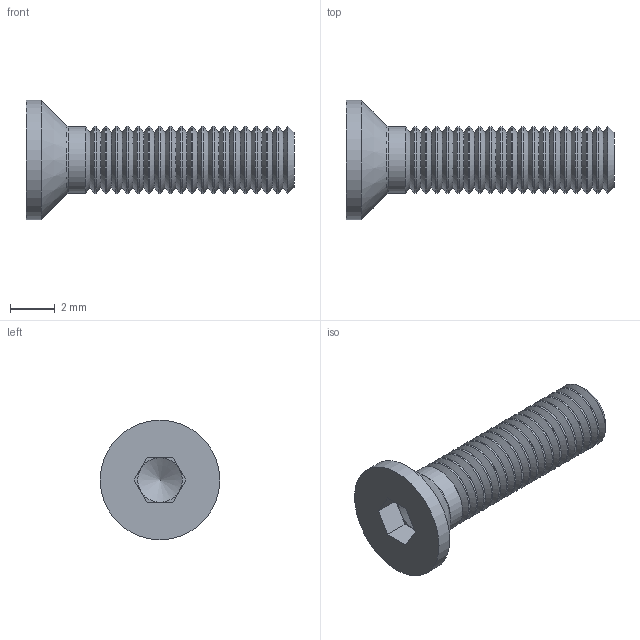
import cadquery as cq
import math

total_length = 12.0
head_diameter = 5.35
thread_diameter = 3.0
head_radius = head_diameter / 2
thread_radius = thread_diameter / 2

rim_thickness = 0.685
neck_x = rim_thickness + head_radius - thread_radius
neck_fillet_radius = 0.1

groove_count = 19
groove_depth = 0.285
thread_pitch = 0.4806
crest_width = 0.08
groove_width = thread_pitch - crest_width
root_radius = thread_radius - groove_depth

point_radius = root_radius
point_length = thread_radius - point_radius
last_crest_x = total_length - point_length
thread_start = last_crest_x + crest_width - groove_count * thread_pitch

socket_across_flats = 2.0
socket_across_corners = socket_across_flats / math.cos(math.radians(30))
socket_depth = 1.1
drill_point_angle = 120.0
drill_radius = socket_across_flats / 2
drill_point_depth = drill_radius / math.tan(math.radians(drill_point_angle / 2))


def make_screw_body():
    """Revolve the half profile of head, neck and threaded shank about X."""
    fillet_turn = math.radians(45)
    tangent_length = neck_fillet_radius * math.tan(fillet_turn / 2)
    cone_tangent = (
        neck_x - tangent_length * math.cos(fillet_turn),
        thread_radius + tangent_length * math.sin(fillet_turn),
    )
    shank_tangent = (neck_x + tangent_length, thread_radius)
    fillet_middle = (
        shank_tangent[0] - neck_fillet_radius * math.sin(fillet_turn / 2),
        thread_radius + neck_fillet_radius * (1 - math.cos(fillet_turn / 2)),
    )

    profile = (
        cq.Workplane("XY")
        .lineTo(0, head_radius)
        .lineTo(rim_thickness, head_radius)
        .lineTo(*cone_tangent)
        .threePointArc(fillet_middle, shank_tangent)
    )
    for index in range(groove_count):
        groove_start = thread_start + index * thread_pitch
        profile = (
            profile.lineTo(groove_start, thread_radius)
            .lineTo(groove_start + groove_width / 2, root_radius)
            .lineTo(groove_start + groove_width, thread_radius)
        )
    profile = profile.lineTo(total_length, point_radius).lineTo(total_length, 0).close()
    return profile.revolve(360, (0, 0, 0), (1, 0, 0))


def make_socket():
    """Hexagonal recess from the head face, two corners along Y, ending in a drill cone."""
    hexagon = cq.Workplane("YZ").polygon(6, socket_across_corners).extrude(socket_depth)
    drill_point = (
        cq.Workplane("XY")
        .moveTo(socket_depth, 0)
        .lineTo(socket_depth, drill_radius)
        .lineTo(socket_depth + drill_point_depth, 0)
        .close()
        .revolve(360, (0, 0, 0), (1, 0, 0))
    )
    return hexagon.union(drill_point)


result = make_screw_body().cut(make_socket())